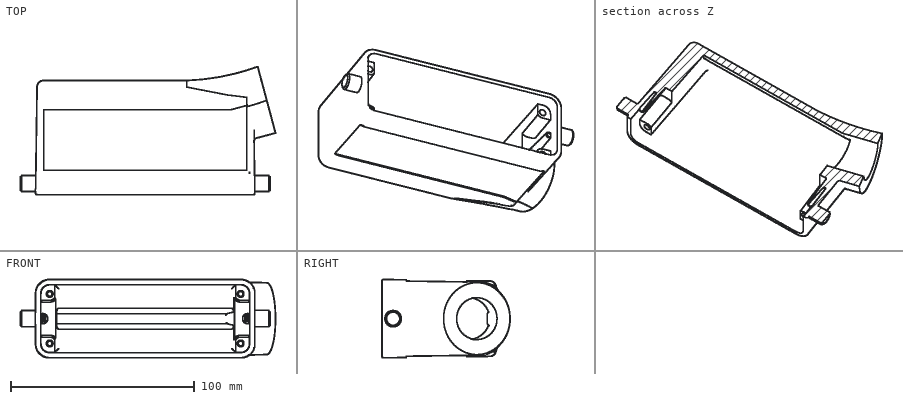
import cadquery as cq
import math

BODY_LENGTH = 119.8
BODY_THICK = 42.9
BODY_HEIGHT = 62.4
BODY_CORNER = 7.7
BODY_DRAFT = 0.8
TOP_ROUND = 3.6
LIP_ROUND = 1.0
WALL = 2.9

MOUTH_DEPTH = 8.4
LEDGE_DEPTH = 27.9
LEDGE_ROUND = 1.4
CAVITY_DEPTH = 59.9
CAVITY_LENGTH = 98.6
CAVITY_DRAFT = 1.3
CAVITY_ROUND = 1.1

RIB_TIP_Y = 57.5
RIB_TIP_HALF = 2.8
RIB_FLARE_Y = 58.8
RIB_FLARE_HALF = 4.3
RIB_ROOT_HALF = 5.7

POST_X = 52.1
POST_Z = 13.5
POST_RADIUS = 3.5
POST_HOLE_RADIUS = 1.8
BOSS_X = 56.0
BOSS_RADIUS = 1.8
BOSS_HOLE_RADIUS = 1.1
POST_DRAFT = 3.0
HOLE_DEPTH = 14.0
HOLE_DRAFT = 2.0

PIN_RADIUS = 4.5
PIN_Y = 6.1
PIN_TIP_X = 68.1
PIN_CHAMFER = 0.8

ENTRY_ANGLE = 15.0
ENTRY_X = 66.3
ENTRY_Y = 51.8
ENTRY_HALF_WIDTH = 19.6
ENTRY_HALF_HEIGHT = 18.8
ENTRY_LENGTH = 22.3
ENTRY_ROOT_ROUND = 1.4
BORE_RADIUS = 11.4
BORE_LENGTH = 44.6

PANEL_LOW = 13.4
PANEL_HIGH = 46.4
PANEL_BEND_X = 46.7
PANEL_DEPTH = 0.7

NECK_START_X = 22.6
NECK_MIDDLE_X = 44.9
NECK_MIDDLE_TOP = 65.2
NECK_MIDDLE_ANGLE = 10.0
NECK_MIDDLE_ROUND = 10.7
NECK_CREST_HALF = 0.3

ENTRY_TILT = math.radians(ENTRY_ANGLE)
TOP_HALF_THICK = BODY_THICK / 2 - BODY_HEIGHT * math.tan(math.radians(BODY_DRAFT))


def along_y(y=0.0):
    """Workplane at the given Y that extrudes towards +Y."""
    return cq.Workplane(cq.Plane((0, y, 0), xDir=(1, 0, 0), normal=(0, 1, 0)))


def tilted_plane(x, y, angle):
    """Plane whose normal leans from +X towards +Y; its local Y points up the slope."""
    normal = (math.cos(angle), math.sin(angle), 0)
    return cq.Plane((x, y, 0), xDir=(0, 0, -1), normal=normal)


def drafted_block(inset, height, draft, start=0.0):
    """Block with the hood's rounded outline, moved inward by inset, narrowing along Y."""
    return (
        along_y(start)
        .sketch()
        .rect(BODY_LENGTH - 2 * inset, BODY_THICK - 2 * inset)
        .vertices()
        .fillet(BODY_CORNER - inset)
        .finalize()
        .extrude(height, taper=draft)
    )


def make_body():
    body = drafted_block(0, BODY_HEIGHT, BODY_DRAFT)
    body = body.faces(">Y").edges().fillet(TOP_ROUND)
    return body.faces("<Y").edges().fillet(LIP_ROUND)


def add_entry(body):
    """Add the tilted elliptical sleeve and round the corner below it."""
    sleeve = (
        cq.Workplane(tilted_plane(ENTRY_X, ENTRY_Y, ENTRY_TILT))
        .ellipse(ENTRY_HALF_WIDTH, ENTRY_HALF_HEIGHT)
        .extrude(-ENTRY_LENGTH)
    )
    root_near_x = BODY_LENGTH / 2 - TOP_ROUND
    root_low_y = ENTRY_Y - 2 * ENTRY_HALF_HEIGHT
    root_zone = cq.selectors.BoxSelector(
        (root_near_x, root_low_y, -BODY_THICK / 2),
        (BODY_LENGTH / 2, PANEL_HIGH, BODY_THICK / 2),
    )
    return body.union(sleeve).edges(root_zone).fillet(ENTRY_ROOT_ROUND)


def neck_section(plane, half_width, depth, round_width, round_height):
    """Flat-bottomed section with elliptical top corners; the plane's origin is on its crest."""
    crest_half = half_width - round_width
    return (
        cq.Workplane(plane)
        .moveTo(-half_width, -depth)
        .lineTo(half_width, -depth)
        .lineTo(half_width, -round_height)
        .ellipseArc(round_width, round_height, 0, 90, startAtCurrent=True)
        .lineTo(-crest_half, 0)
        .ellipseArc(round_width, round_height, 90, 180, startAtCurrent=True)
        .close()
        .val()
    )


def make_neck():
    start = neck_section(
        tilted_plane(NECK_START_X, BODY_HEIGHT, 0),
        TOP_HALF_THICK,
        BODY_HEIGHT - PANEL_HIGH,
        TOP_ROUND,
        TOP_ROUND,
    )
    middle = neck_section(
        tilted_plane(NECK_MIDDLE_X, NECK_MIDDLE_TOP, math.radians(NECK_MIDDLE_ANGLE)),
        (TOP_HALF_THICK + ENTRY_HALF_WIDTH) / 2,
        NECK_MIDDLE_TOP - PANEL_HIGH,
        NECK_MIDDLE_ROUND,
        NECK_MIDDLE_ROUND,
    )
    crest_x = ENTRY_X - ENTRY_HALF_HEIGHT * math.sin(ENTRY_TILT)
    crest_y = ENTRY_Y + ENTRY_HALF_HEIGHT * math.cos(ENTRY_TILT)
    end = neck_section(
        tilted_plane(crest_x, crest_y, ENTRY_TILT),
        ENTRY_HALF_WIDTH,
        ENTRY_HALF_HEIGHT + NECK_CREST_HALF,
        ENTRY_HALF_WIDTH - NECK_CREST_HALF,
        ENTRY_HALF_HEIGHT,
    )
    return cq.Workplane(cq.Solid.makeLoft([start, middle, end]))


def make_neck_clearance():
    """Room for the neck: the square top edge of the body that the neck's rounding replaces."""
    above = 2 * BODY_HEIGHT
    return (
        cq.Workplane("XY")
        .polyline([
            (NECK_START_X, BODY_HEIGHT - TOP_ROUND),
            (NECK_MIDDLE_X, NECK_MIDDLE_TOP - NECK_MIDDLE_ROUND),
            (ENTRY_X, ENTRY_Y),
            (ENTRY_X, above),
            (NECK_START_X, above),
        ])
        .close()
        .extrude(BODY_THICK, both=True)
    )


def make_panel_cutter():
    """Everything outside the drafted panel floors, within the panel's outline."""
    far = BODY_LENGTH
    outline = (
        cq.Workplane("XY")
        .polyline([
            (-far, PANEL_LOW),
            (far, PANEL_LOW),
            (far, PANEL_HIGH + (far - PANEL_BEND_X) * math.tan(ENTRY_TILT)),
            (PANEL_BEND_X, PANEL_HIGH),
            (-far, PANEL_HIGH),
        ])
        .close()
        .extrude(BODY_THICK / 2, both=True)
    )
    core = (
        along_y()
        .rect(4 * BODY_LENGTH, BODY_THICK - 2 * PANEL_DEPTH)
        .extrude(2 * BODY_HEIGHT, taper=BODY_DRAFT)
    )
    return outline.cut(core)


def make_rib():
    return (
        cq.Workplane("YZ")
        .polyline([
            (RIB_TIP_Y, -RIB_TIP_HALF),
            (RIB_TIP_Y, RIB_TIP_HALF),
            (RIB_FLARE_Y, RIB_FLARE_HALF),
            (CAVITY_DEPTH, RIB_ROOT_HALF),
            (CAVITY_DEPTH, -RIB_ROOT_HALF),
            (RIB_FLARE_Y, -RIB_FLARE_HALF),
        ])
        .close()
        .extrude(BODY_LENGTH / 2, both=True)
    )


def make_post(side_x, side_z):
    """Corner post that runs from its screw hole out into the body's walls."""
    inner_x = POST_X - POST_RADIUS
    inner_z = POST_Z - POST_RADIUS
    size_x = BODY_LENGTH / 2 - inner_x
    size_z = BODY_THICK / 2 - inner_z
    return (
        along_y(MOUTH_DEPTH)
        .center(side_x * (inner_x + size_x / 2), side_z * (inner_z + size_z / 2))
        .sketch()
        .rect(size_x, size_z)
        .vertices()
        .fillet(POST_RADIUS)
        .finalize()
        .extrude(LEDGE_DEPTH, taper=-POST_DRAFT)
    )


def boss_points():
    """Workplane at the mouth depth with a point at each end boss."""
    return along_y(MOUTH_DEPTH).pushPoints([(-BOSS_X, 0), (BOSS_X, 0)])


def make_cavity():
    """The whole hollow: mouth, end ledges around the posts, and the deep ribbed middle."""
    inset = WALL + MOUTH_DEPTH * math.tan(math.radians(BODY_DRAFT))
    mouth = drafted_block(WALL, MOUTH_DEPTH, BODY_DRAFT)

    deep = (
        along_y(MOUTH_DEPTH)
        .rect(CAVITY_LENGTH, BODY_THICK - 2 * inset)
        .extrude(CAVITY_DEPTH - MOUTH_DEPTH, taper=CAVITY_DRAFT)
        .faces(">Y").edges().fillet(CAVITY_ROUND)
        .cut(make_rib())
    )

    ends = drafted_block(inset, LEDGE_DEPTH - MOUTH_DEPTH, CAVITY_DRAFT, MOUTH_DEPTH)
    ends = ends.faces(">Y").edges().fillet(LEDGE_ROUND)
    for side_x in (-1, 1):
        for side_z in (-1, 1):
            ends = ends.cut(make_post(side_x, side_z))
    ends = ends.cut(boss_points().circle(BOSS_RADIUS).extrude(LEDGE_DEPTH, taper=-POST_DRAFT))

    return deep.union(ends).union(mouth)


def make_screw_holes():
    post_holes = (
        along_y(MOUTH_DEPTH)
        .rect(2 * POST_X, 2 * POST_Z, forConstruction=True)
        .vertices()
        .circle(POST_HOLE_RADIUS)
        .extrude(HOLE_DEPTH, taper=HOLE_DRAFT)
    )
    boss_holes = boss_points().circle(BOSS_HOLE_RADIUS).extrude(HOLE_DEPTH, taper=HOLE_DRAFT)
    return post_holes.union(boss_holes)


def make_bore():
    """Cable hole through the entry and the end wall into the cavity."""
    plane = tilted_plane(ENTRY_X, ENTRY_Y, ENTRY_TILT)
    return cq.Workplane(plane).circle(BORE_RADIUS).extrude(-BORE_LENGTH)


def make_pin(side):
    """Pin that reaches from its chamfered tip to the middle of the end wall."""
    length = PIN_TIP_X - BODY_LENGTH / 2 + WALL / 2
    tip = ">X" if side > 0 else "<X"
    return (
        cq.Workplane("YZ", origin=(side * PIN_TIP_X, PIN_Y, 0))
        .circle(PIN_RADIUS)
        .extrude(-side * length)
        .faces(tip).edges().chamfer(PIN_CHAMFER)
    )


result = add_entry(make_body())
result = result.cut(make_neck_clearance()).union(make_neck())
result = result.cut(make_panel_cutter())

result = result.cut(make_cavity()).cut(make_screw_holes()).cut(make_bore())
for side in (-1, 1):
    result = result.union(make_pin(side))